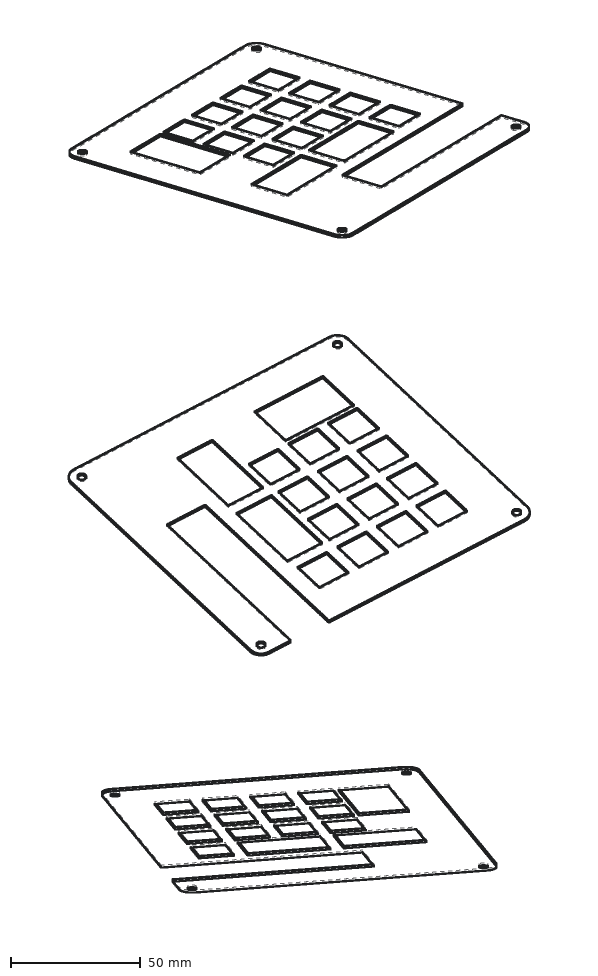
import cadquery as cq

plate_length = 133.0
plate_width = 126.0
plate_thickness = 1.0
corner_radius = 5.0

mount_hole_diameter = 3.5

key_pitch = 19.0
key_size = 14.0
first_column_x = -39.5
first_row_y = 39.0
square_keys_per_row = [4, 3, 3, 3]

double_key_length = 32.9
tall_key_width = 16.8
tall_key_x = 17.3
tall_key_y_positions = [10.4, -27.8]
wide_key_height = 20.0

slot_width = 18.4
slot_left_x = 32.6
slot_end_y = -17.0


def column_x(column):
    return first_column_x + column * key_pitch


def row_y(row):
    return first_row_y - row * key_pitch


def opening(size_x, size_y, centers):
    """Rectangular cutters through the plate at the given centres."""
    return (
        cq.Workplane("XY")
        .pushPoints(centers)
        .rect(size_x, size_y)
        .extrude(plate_thickness)
    )


plate = (
    cq.Workplane("XY")
    .rect(plate_length, plate_width)
    .extrude(plate_thickness)
    .edges("|Z")
    .fillet(corner_radius)
    .faces(">Z")
    .workplane()
    .rect(plate_length - 2 * corner_radius, plate_width - 2 * corner_radius, forConstruction=True)
    .vertices()
    .hole(mount_hole_diameter)
)

square_centers = [
    (column_x(column), row_y(row))
    for row, key_count in enumerate(square_keys_per_row)
    for column in range(key_count)
]
square_keys = opening(key_size, key_size, square_centers)

tall_centers = [(tall_key_x, y) for y in tall_key_y_positions]
tall_keys = opening(tall_key_width, double_key_length, tall_centers)
wide_key_column = 0.5
wide_key_center = (column_x(wide_key_column), row_y(len(square_keys_per_row)))
wide_key = opening(double_key_length, wide_key_height, [wide_key_center])

slot_length = plate_width / 2 - slot_end_y
slot_center = (slot_left_x + slot_width / 2, slot_end_y + slot_length / 2)
slot = opening(slot_width, slot_length, [slot_center])

result = plate.cut(square_keys).cut(tall_keys).cut(wide_key).cut(slot)